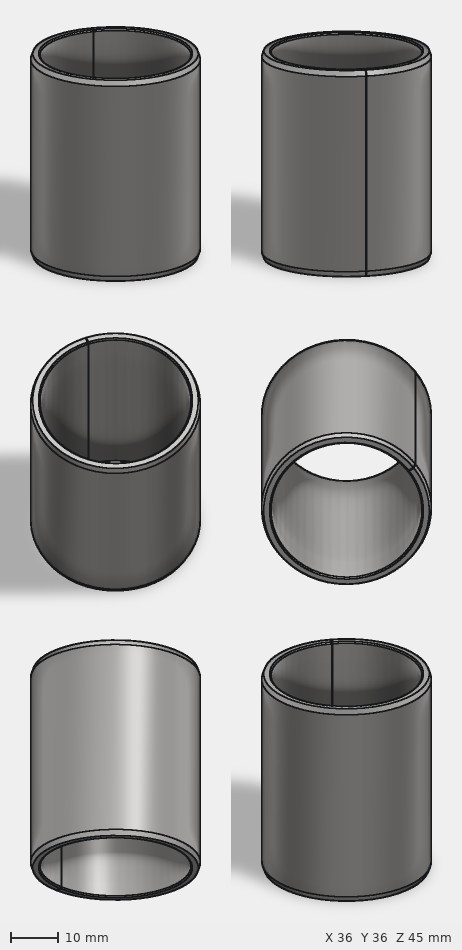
import cadquery as cq
import math

length = 45.0
outer_diameter = 36.0
inner_diameter = 32.0
outer_radius = outer_diameter / 2
inner_radius = inner_diameter / 2

outer_chamfer_height = 1.2
outer_chamfer_angle = 20.0
outer_chamfer_width = outer_chamfer_height * math.tan(math.radians(outer_chamfer_angle))
inner_chamfer = 0.3

split_width = 0.2


def wall_ring():
    """Revolve the wall section, chamfered at its four corners."""
    half_length = length / 2
    outer_chamfer_level = half_length - outer_chamfer_height
    inner_chamfer_level = half_length - inner_chamfer
    end_outer_radius = outer_radius - outer_chamfer_width
    end_inner_radius = inner_radius + inner_chamfer
    section = (
        cq.Workplane("XZ")
        .moveTo(end_inner_radius, -half_length)
        .lineTo(end_outer_radius, -half_length)
        .lineTo(outer_radius, -outer_chamfer_level)
        .lineTo(outer_radius, outer_chamfer_level)
        .lineTo(end_outer_radius, half_length)
        .lineTo(end_inner_radius, half_length)
        .lineTo(inner_radius, inner_chamfer_level)
        .lineTo(inner_radius, -inner_chamfer_level)
        .close()
    )
    return section.revolve(360, (0, 0, 0), (0, 1, 0))


def split_cutter():
    """Thin slab from the axis out past the wall, toward -X."""
    return cq.Workplane("XY").box(
        outer_diameter, split_width, 2 * length
    ).translate((-outer_radius, split_width / 2, 0))


result = wall_ring().cut(split_cutter())